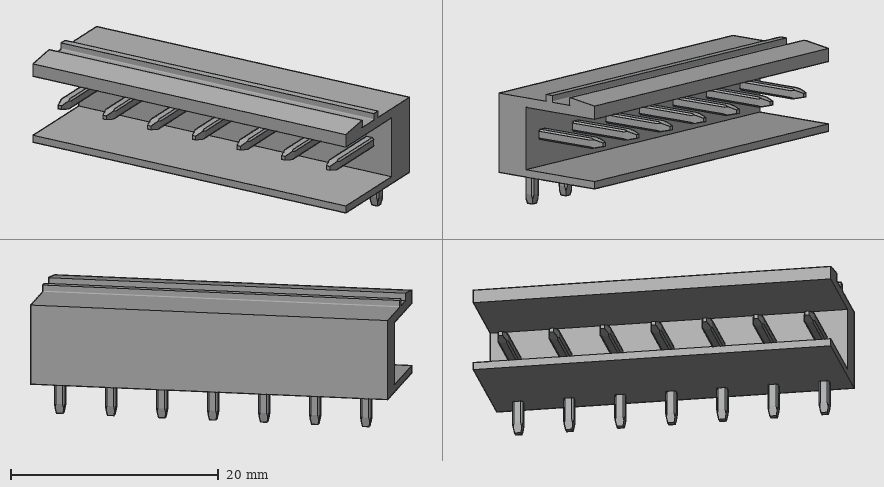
import cadquery as cq

LENGTH = 35.0
DEPTH = 12.0
PIN_COUNT = 7
PITCH = LENGTH / PIN_COUNT

FLOOR_THICKNESS = 0.75
CEILING_Z = 6.85
ROOF_Z = 7.8
BACK_WALL_THICKNESS = 3.4
BACK_WALL_FRONT_Y = DEPTH - BACK_WALL_THICKNESS

RIB_HEIGHT = 0.65
RIB_WIDTH = 0.77
RIB_FRONT_Y = 5.3
RIB_ROOT_FILLET = 0.1

LIP_HEIGHT = 0.75
LIP_FRONT_HEIGHT = 0.35
LIP_BACK_Y = 3.1
LIP_FLAT_WIDTH = 0.3

PIN_WIDTH = 1.0
PIN_EDGE_BEVEL = 0.18
PIN_MATE_Z = 3.85
PIN_MATE_TIP_Y = 0.88
PIN_MATE_TAPER = 1.3
PIN_MATE_TIP_WIDTH = 0.4
PIN_TAIL_SETBACK = 2.05
PIN_TAIL_Y = DEPTH - PIN_TAIL_SETBACK
PIN_TAIL_LENGTH = 3.15
PIN_TAIL_TAPER = 0.95
PIN_TAIL_TIP_WIDTH = 0.63


def bevelled_wire(length):
    """Square wire with bevelled long edges, running from the origin along +Z."""
    wire = cq.Workplane("XY").rect(PIN_WIDTH, PIN_WIDTH).extrude(length)
    return wire.edges("|Z").chamfer(PIN_EDGE_BEVEL)


def tip_envelope(length, taper, tip_width):
    """Square bar along +Z whose far end narrows evenly to tip_width."""
    shank = length - taper
    bar = cq.Workplane("XY").rect(PIN_WIDTH, PIN_WIDTH).extrude(shank)
    tip = (
        cq.Workplane("XY")
        .workplane(offset=shank)
        .rect(PIN_WIDTH, PIN_WIDTH)
        .workplane(offset=taper)
        .rect(tip_width, tip_width)
        .loft(ruled=True)
    )
    return bar.union(tip)


def pin_leg(length, taper, tip_width):
    """One straight leg of a pin, from the origin to its tip along +Z."""
    return bevelled_wire(length).intersect(tip_envelope(length, taper, tip_width))


def make_pin():
    """Right-angle pin centred on X = 0: a mating leg toward -Y and a solder tail toward -Z."""
    bend_back_y = PIN_TAIL_Y + PIN_WIDTH / 2
    bend_top_z = PIN_MATE_Z + PIN_WIDTH / 2
    mating_leg = (
        pin_leg(bend_back_y - PIN_MATE_TIP_Y, PIN_MATE_TAPER, PIN_MATE_TIP_WIDTH)
        .rotate((0, 0, 0), (1, 0, 0), 90)
        .translate((0, bend_back_y, PIN_MATE_Z))
    )
    tail = (
        pin_leg(bend_top_z + PIN_TAIL_LENGTH, PIN_TAIL_TAPER, PIN_TAIL_TIP_WIDTH)
        .rotate((0, 0, 0), (1, 0, 0), 180)
        .translate((0, PIN_TAIL_Y, bend_top_z))
    )
    return mating_leg.union(tail)


def make_pins():
    """A row of separate pins, one in the middle of each pitch."""
    pin = make_pin()
    return [pin.translate(((i + 0.5) * PITCH, 0, 0)) for i in range(PIN_COUNT)]


def channel():
    """Front-opening channel with a thick back wall and a sloped latch lip on its roof."""
    profile = [
        (0, 0),
        (DEPTH, 0),
        (DEPTH, ROOF_Z),
        (LIP_BACK_Y, ROOF_Z),
        (LIP_BACK_Y, ROOF_Z + LIP_HEIGHT),
        (LIP_BACK_Y - LIP_FLAT_WIDTH, ROOF_Z + LIP_HEIGHT),
        (0, ROOF_Z + LIP_FRONT_HEIGHT),
        (0, CEILING_Z),
        (BACK_WALL_FRONT_Y, CEILING_Z),
        (BACK_WALL_FRONT_Y, FLOOR_THICKNESS),
        (0, FLOOR_THICKNESS),
    ]
    return cq.Workplane("YZ").polyline(profile).close().extrude(LENGTH)


def key_rib():
    """Full-length rib standing on the roof, with a concave fillet along each side of its root."""
    rib_back_y = RIB_FRONT_Y + RIB_WIDTH
    rib_top_z = ROOF_Z + RIB_HEIGHT
    fillet_top_z = ROOF_Z + RIB_ROOT_FILLET
    return (
        cq.Workplane("YZ")
        .moveTo(RIB_FRONT_Y - RIB_ROOT_FILLET, ROOF_Z)
        .radiusArc((RIB_FRONT_Y, fillet_top_z), -RIB_ROOT_FILLET)
        .lineTo(RIB_FRONT_Y, rib_top_z)
        .lineTo(rib_back_y, rib_top_z)
        .lineTo(rib_back_y, fillet_top_z)
        .radiusArc((rib_back_y + RIB_ROOT_FILLET, ROOF_Z), -RIB_ROOT_FILLET)
        .close()
        .extrude(LENGTH)
    )


def make_housing(pins):
    """Channel and key rib in one solid, bored to fit the pins."""
    housing = channel().union(key_rib())
    for pin in pins:
        housing = housing.cut(pin)
    return housing


pins = make_pins()
housing = make_housing(pins)

result = cq.Compound.makeCompound([housing.val(), *[pin.val() for pin in pins]])